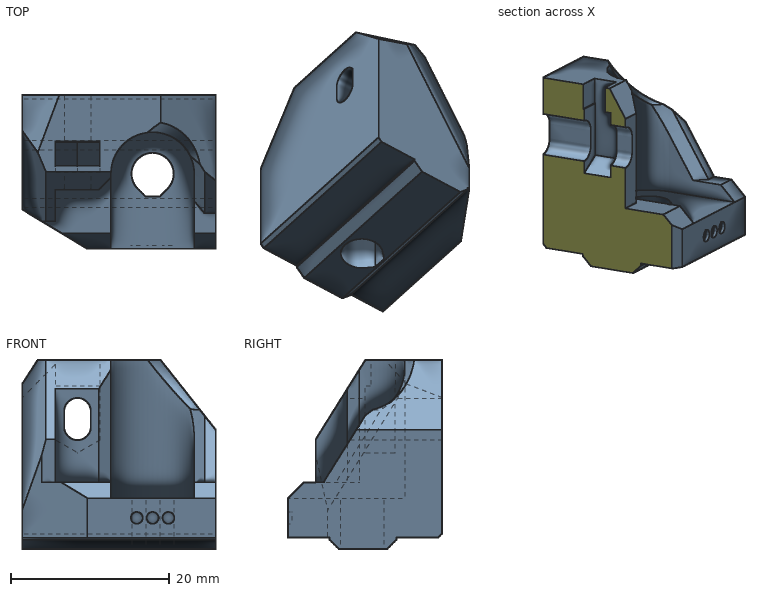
import cadquery as cq
import math

WIDTH = 24.5
DEPTH = 19.5
TOP_Z = 22.5
STEP_Z = 7.0
FLOOR_Z = 5.0
SLOPE_RATIO = 1.6
SLOPE_ANGLE = math.atan(SLOPE_RATIO)
OVERSHOOT = 8.0

ROD_X = 16.5
ROD_Y = 9.5
CHANNEL_RADIUS = 5.275
HOLE_RADIUS = 2.65
HOLE_TIP = 2.85

LEFT_WALL_FRONT_Y = 3.5
LEFT_WALL_TOP_Y = 9.8
SIDE_CHAMFER_WIDTH = 3.0
SIDE_CHAMFER_DROP = 6.0
RECESS_LEFT_X = 4.2
RECESS_BACK_Y = 7.5
RECESS_RIGHT_X = 9.7
FRONT_CORNER_X = 8.25
FRONT_CORNER_Y = 5.0

CORNER_TOP_X = 4.7
CORNER_SIDE_Z = 17.74
CORNER_PLAN_RATIO = 0.374

RIGHT_WALL_FRONT_Y = 4.5
RIGHT_BEVEL_X = 17.5
RIGHT_BEVEL_SIDE_Z = 13.63
RIM_CHAMFER = 1.3
RIGHT_SLOPE_X = 19.0
WALL_SPLIT_X = 14.5

SCREW_X = 7.0
SCREW_Z = 15.0
SLOT_WIDTH = 3.35
SCREW_TRAVEL = 1.95
SLOT_LENGTH = SLOT_WIDTH + SCREW_TRAVEL
NUT_WIDTH = 5.65
SHAFT_FRONT_Y = 10.5
SHAFT_BACK_Y = 13.6
SEAT_FRONT_Y = 9.7
SEAT_BACK_Y = 13.5

LEDGE_CHAMFER = 2.0
KEY_HALF_WIDTH = 4.25
KEY_DROP = 1.45
KEY_CHAMFER = 1.2
HEEL_CHAMFER = 0.5
DOT_DIAMETER = 1.5
DOT_PITCH = 2.0
DOT_Z = 2.5
DOT_DEPTH = 0.5


def block(x0, x1, y0, y1, z0, z1):
    """Box between two opposite corners."""
    return cq.Workplane("XY").box(x1 - x0, y1 - y0, z1 - z0, centered=False).translate((x0, y0, z0))


def along_x(points, x0, x1):
    """Prism between x0 and x1 from a (Y, Z) outline."""
    return cq.Workplane("YZ", origin=(x0, 0, 0)).polyline(points).close().extrude(x1 - x0)


def sloped_wall(x0, x1, front_y, front_z, top_z):
    """Wall whose sloped front passes through (front_y, front_z)."""
    bottom_y = front_y - front_z / SLOPE_RATIO
    top_y = front_y + (top_z - front_z) / SLOPE_RATIO
    return along_x([(bottom_y, 0), (DEPTH, 0), (DEPTH, top_z), (top_y, top_z)], x0, x1)


def channel():
    """Round-backed channel, open to the front and the top."""
    top_z = TOP_Z + 2 * OVERSHOOT
    cut = block(ROD_X - CHANNEL_RADIUS, ROD_X + CHANNEL_RADIUS, -OVERSHOOT, ROD_Y, FLOOR_Z, top_z)
    round_end = cq.Workplane("XY", origin=(ROD_X, ROD_Y, FLOOR_Z)).circle(CHANNEL_RADIUS)
    return cut.union(round_end.extrude(top_z - FLOOR_Z))


def base():
    """Ledge block with its chamfered front edge and heel."""
    outline = [
        (0, 0),
        (0, STEP_Z - LEDGE_CHAMFER),
        (LEDGE_CHAMFER, STEP_Z),
        (DEPTH, STEP_Z),
        (DEPTH, HEEL_CHAMFER),
        (DEPTH - HEEL_CHAMFER, 0),
    ]
    return along_x(outline, 0, WIDTH)


def bottom_key():
    """Rib under the base, running across its full width."""
    tip = KEY_HALF_WIDTH - KEY_CHAMFER
    shoulder_z = KEY_CHAMFER - KEY_DROP
    outline = [
        (ROD_Y - KEY_HALF_WIDTH, 0),
        (ROD_Y - KEY_HALF_WIDTH, shoulder_z),
        (ROD_Y - tip, -KEY_DROP),
        (ROD_Y + tip, -KEY_DROP),
        (ROD_Y + KEY_HALF_WIDTH, shoulder_z),
        (ROD_Y + KEY_HALF_WIDTH, 0),
    ]
    return along_x(outline, 0, WIDTH)


def left_wall():
    """Wall left of the channel, with the recess in its front."""
    wall = sloped_wall(0, WALL_SPLIT_X, LEFT_WALL_TOP_Y, TOP_Z, TOP_Z)
    wall = wall.intersect(block(0, WALL_SPLIT_X, LEFT_WALL_FRONT_Y, DEPTH, STEP_Z, TOP_Z))
    diagonal = ROD_X - RECESS_RIGHT_X
    recess = (
        cq.Workplane("XY", origin=(0, 0, STEP_Z))
        .moveTo(RECESS_LEFT_X, 0)
        .lineTo(RECESS_LEFT_X, RECESS_BACK_Y)
        .lineTo(RECESS_RIGHT_X, RECESS_BACK_Y)
        .lineTo(ROD_X, RECESS_BACK_Y + diagonal)
        .lineTo(ROD_X, 0)
        .close()
        .extrude(TOP_Z - STEP_Z)
    )
    return wall.cut(recess).cut(channel())


def right_wall():
    """Wall right of the channel, with its sloped front, top bevel and chamfered rim."""
    start_x = ROD_X - CHANNEL_RADIUS
    bevel_ratio = (TOP_Z - RIGHT_BEVEL_SIDE_Z) / (WIDTH - RIGHT_BEVEL_X)
    bevel_start_z = TOP_Z + (RIGHT_BEVEL_X - start_x) * bevel_ratio
    front_part = sloped_wall(RIGHT_SLOPE_X, WIDTH, RIGHT_WALL_FRONT_Y, STEP_Z, bevel_start_z)
    under_bevel = (
        cq.Workplane("XZ")
        .polyline([(start_x, 0), (WIDTH, 0), (WIDTH, RIGHT_BEVEL_SIDE_Z), (start_x, bevel_start_z)])
        .close()
        .extrude(-DEPTH)
    )
    back_part = block(start_x, RIGHT_SLOPE_X, ROD_Y, DEPTH, 0, bevel_start_z)
    wall = under_bevel.intersect(front_part.union(back_part)).cut(channel())
    wall = wall.edges("%ELLIPSE").chamfer(RIM_CHAMFER)
    return wall.intersect(block(WALL_SPLIT_X, WIDTH, 0, DEPTH, STEP_Z, TOP_Z))


def half_space(points, toward):
    """Large block bounded by the plane through three points, on the side that `toward` points to."""
    a, b, c = (cq.Vector(*p) for p in points)
    normal = (b - a).cross(c - a).normalized()
    if normal.dot(cq.Vector(*toward)) < 0:
        normal = -normal
    plane = cq.Plane(origin=a.toTuple(), xDir=(b - a).toTuple(), normal=normal.toTuple())
    size = 4 * WIDTH
    return cq.Workplane(plane).rect(size, size).extrude(size)


def left_side_chamfer():
    """Chamfer between the left side and the sloped wall front."""
    shift_y = SIDE_CHAMFER_DROP / math.sin(SLOPE_ANGLE)
    run = TOP_Z / SLOPE_RATIO
    points = [
        (SIDE_CHAMFER_WIDTH, LEFT_WALL_TOP_Y, TOP_Z),
        (SIDE_CHAMFER_WIDTH, LEFT_WALL_TOP_Y - run, 0),
        (0, LEFT_WALL_TOP_Y + shift_y, TOP_Z),
    ]
    return half_space(points, (-1, -1, 1))


def top_corner_bevel():
    """Bevel at the top, left and back."""
    points = [
        (CORNER_TOP_X, DEPTH, TOP_Z),
        (CORNER_TOP_X - CORNER_PLAN_RATIO * DEPTH, 0, TOP_Z),
        (0, DEPTH, CORNER_SIDE_Z),
    ]
    return half_space(points, (-1, 0, 1))


def front_corner():
    """Full-height cut across the left front corner."""
    points = [
        (FRONT_CORNER_X, 0, 0),
        (0, FRONT_CORNER_Y, 0),
        (0, FRONT_CORNER_Y, TOP_Z),
    ]
    return half_space(points, (-1, -1, 0))


def rod_hole():
    """Teardrop hole with a flat tip toward the front."""
    tangent = HOLE_RADIUS * math.sqrt(0.5)
    tip_half_width = HOLE_RADIUS * math.sqrt(2) - HOLE_TIP
    return (
        cq.Workplane("XY", origin=(ROD_X, ROD_Y, -KEY_DROP))
        .moveTo(-tangent, -tangent)
        .lineTo(-tip_half_width, -HOLE_TIP)
        .lineTo(tip_half_width, -HOLE_TIP)
        .lineTo(tangent, -tangent)
        .threePointArc((0, HOLE_RADIUS), (-tangent, -tangent))
        .close()
        .extrude(KEY_DROP + FLOOR_Z)
    )


def screw_slot():
    """Upright slot through the left wall, from front to back."""
    slot = cq.Workplane("XZ", origin=(SCREW_X, 0, SCREW_Z)).slot2D(SLOT_LENGTH, SLOT_WIDTH, 90)
    return slot.extrude(-DEPTH)


def nut_prism(top_z, front_y, back_y):
    """Upright pocket as wide as the nut, with a flat top and a hexagon point at the bottom."""
    half_width = NUT_WIDTH / 2
    low_centre_z = SCREW_Z - SCREW_TRAVEL / 2
    corner_drop = half_width * math.tan(math.radians(30))
    return (
        cq.Workplane("XZ", origin=(SCREW_X, front_y, 0))
        .moveTo(-half_width, top_z)
        .lineTo(half_width, top_z)
        .lineTo(half_width, low_centre_z - corner_drop)
        .lineTo(0, low_centre_z - 2 * corner_drop)
        .lineTo(-half_width, low_centre_z - corner_drop)
        .close()
        .extrude(front_y - back_y)
    )


def nut_trap():
    """Insertion shaft from the top, leading down to the seat that lies a little further forward."""
    nut_height = NUT_WIDTH / math.cos(math.radians(30))
    seat_top_z = SCREW_Z + (SCREW_TRAVEL + nut_height) / 2
    shaft = nut_prism(TOP_Z, SHAFT_FRONT_Y, SHAFT_BACK_Y)
    shaft = shaft.intersect(block(0, WIDTH, 0, DEPTH, seat_top_z, TOP_Z))
    return shaft.union(nut_prism(seat_top_z, SEAT_FRONT_Y, SEAT_BACK_Y))


def marker_dots():
    """Row of three shallow round dots in the front face."""
    centres = [(ROD_X + i * DOT_PITCH, DOT_Z) for i in (-1, 0, 1)]
    return cq.Workplane("XZ").pushPoints(centres).circle(DOT_DIAMETER / 2).extrude(-DOT_DEPTH)


result = base().cut(channel()).union(bottom_key()).union(left_wall()).union(right_wall())
for cutter in (
    left_side_chamfer,
    top_corner_bevel,
    front_corner,
    rod_hole,
    screw_slot,
    nut_trap,
    marker_dots,
):
    result = result.cut(cutter())